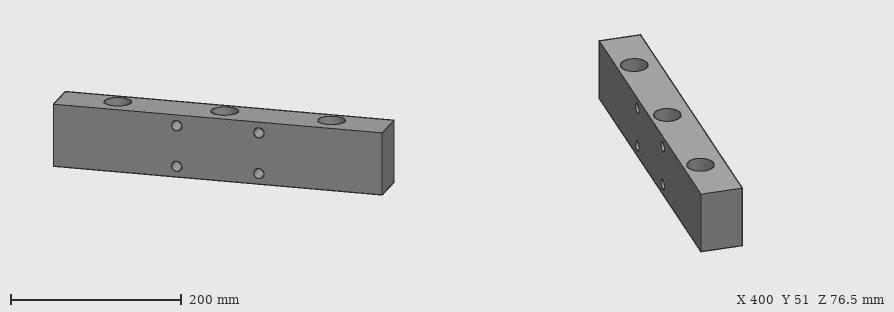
import cadquery as cq

length = 400.0
depth = 51.0
height = 76.5

bore_diameter = 32.0
bore_spacing = 130.0
bore_to_back = 21.0
bore_y = depth / 2 - bore_to_back

bolt_diameter = 12.5
bolt_spacing = 100.0
bolt_row_spacing = 50.0

block = cq.Workplane("XY").box(length, depth, height)

bores = (
    cq.Workplane("XY", origin=(0, bore_y, 0))
    .rarray(bore_spacing, 4, 3, 1)
    .circle(bore_diameter / 2)
    .extrude(height, both=True)
)

bolt_holes = (
    cq.Workplane("XZ")
    .rarray(bolt_spacing, bolt_row_spacing, 2, 2)
    .circle(bolt_diameter / 2)
    .extrude(depth, both=True)
)

result = block.cut(bores).cut(bolt_holes)